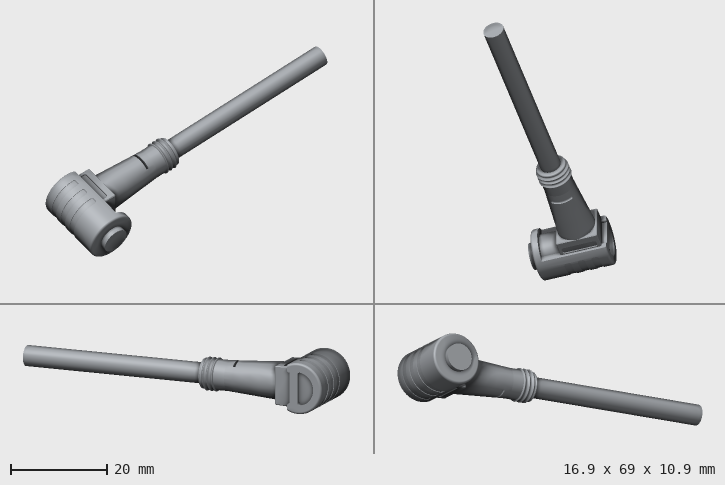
import cadquery as cq
import math

OVERALL_LENGTH = 68.95

BARREL_DIAMETER = 10.9
BARREL_BACK = -5.5
BARREL_FRONT = 10.15
BARREL_EDGE_RADIUS = 0.5
BARREL_FLAT_Y = 2.35
COLLAR_WIDTH = 1.6
NECK_DIAMETER = 8.3
NOSE_DIAMETER = 5.7
NOSE_LENGTH = 1.25

BLOCK_WIDTH = 8.95
BLOCK_END_Y = 5.5
BLOCK_END_HALF_HEIGHT = 4.15
BLOCK_FLAT_HALF_HEIGHT = 4.3
BLOCK_CHAMFER = 0.17

PANEL_LENGTH = 7.6
PANEL_Y_MIN = 2.55
PANEL_Y_MAX = 4.0
PANEL_CORNER_RADIUS = 0.5
PANEL_DEPTH = 0.2

NOTCH_HALF_HEIGHT = 3.3
NOTCH_FLOOR_Y = 1.8
NOTCH_CORNER_RADIUS = 0.4

D_RADIUS = 3.6
D_CORNER_RADIUS = 0.55

GRIP_WIDTH = 1.5
GRIP_PITCH = 2.95
GRIP_COUNT = 3
GRIP_MIDDLE_X = 0.52
GRIP_END_Y = 0.7
GRIP_CORNER_RADIUS = 0.5
GRIP_DEPTH = 0.15

CABLE_DIAMETER = 4.4
SLEEVE_DIAMETER = 6.5
CONE_BASE_DIAMETER = 8.2
CONE_TIP_Y = 17.6
SLEEVE_END_Y = 23.5
SLEEVE_TIP_ROUNDING = 0.35
RIB_DIAMETER = 7.1
RIB_WIDTH = 0.55
RIB_PITCH = 1.0
RIB_COUNT = 3
FIRST_RIB_Y = 20.35

SLOT_Y = 15.7
SLOT_WIDTH = 0.55
SLOT_LENGTH = 4.55
SLOT_FLOOR_Z = 0.35

barrel_radius = BARREL_DIAMETER / 2
sleeve_radius = SLEEVE_DIAMETER / 2
rib_radius = RIB_DIAMETER / 2
cable_end_y = OVERALL_LENGTH - barrel_radius
collar_back = BARREL_FRONT - COLLAR_WIDTH
block_back = -BLOCK_WIDTH / 2


def rod_along_x(diameter, x_start, x_end):
    """Round rod on the barrel axis."""
    return cq.Workplane("YZ", origin=(x_start, 0, 0)).circle(diameter / 2).extrude(x_end - x_start)


def box_between(low, high):
    """Box given by two opposite corners."""
    size = [b - a for a, b in zip(low, high)]
    return cq.Workplane("XY").box(*size, centered=False).translate(low)


def make_barrel():
    """Barrel with its full collar, the neck left bare by the flat, and the nose in front."""
    barrel = rod_along_x(BARREL_DIAMETER, BARREL_BACK, BARREL_FRONT).edges().fillet(BARREL_EDGE_RADIUS)
    flat_cut = box_between(
        (BARREL_BACK, BARREL_FLAT_Y, -barrel_radius),
        (collar_back, barrel_radius, barrel_radius),
    )
    neck = rod_along_x(NECK_DIAMETER, block_back + BLOCK_CHAMFER, collar_back)
    nose = rod_along_x(NOSE_DIAMETER, collar_back, BARREL_FRONT + NOSE_LENGTH)
    return barrel.cut(flat_cut).union(neck).union(nose)


def make_block():
    """Block that thickens toward the barrel, with all its edges bevelled."""
    slope = (BLOCK_FLAT_HALF_HEIGHT - BLOCK_END_HALF_HEIGHT) / (BLOCK_END_Y - BARREL_FLAT_Y)
    inner_half_height = BLOCK_END_HALF_HEIGHT + slope * BLOCK_END_Y
    side_outline = [
        (0, -inner_half_height),
        (BLOCK_END_Y, -BLOCK_END_HALF_HEIGHT),
        (BLOCK_END_Y, BLOCK_END_HALF_HEIGHT),
        (0, inner_half_height),
    ]
    return (
        cq.Workplane("YZ", origin=(block_back, 0, 0))
        .polyline(side_outline)
        .close()
        .extrude(BLOCK_WIDTH)
        .edges()
        .chamfer(BLOCK_CHAMFER)
    )


def make_panel_recess(side):
    """Oblong cutter for the top (side = 1) or bottom (side = -1) of the block."""
    floor_z = BLOCK_END_HALF_HEIGHT - PANEL_DEPTH
    panel_middle_y = (PANEL_Y_MIN + PANEL_Y_MAX) / 2
    return (
        cq.Workplane("XY", origin=(0, panel_middle_y, side * floor_z))
        .rect(PANEL_LENGTH, PANEL_Y_MAX - PANEL_Y_MIN)
        .extrude(side * (barrel_radius - floor_z))
        .edges("|Z")
        .fillet(PANEL_CORNER_RADIUS)
    )


def make_end_notch():
    """Cutter for the notch, flared by a rounded corner where it meets the barrel flat."""
    r = NOTCH_CORNER_RADIUS
    bend = r * (1 - math.sqrt(0.5))
    h = NOTCH_HALF_HEIGHT
    return (
        cq.Workplane("YZ", origin=(BARREL_BACK, 0, 0))
        .moveTo(NOTCH_FLOOR_Y, -h)
        .lineTo(BARREL_FLAT_Y - r, -h)
        .threePointArc((BARREL_FLAT_Y - bend, -h - bend), (BARREL_FLAT_Y, -h - r))
        .lineTo(BARREL_FLAT_Y, h + r)
        .threePointArc((BARREL_FLAT_Y - bend, h + bend), (BARREL_FLAT_Y - r, h))
        .lineTo(NOTCH_FLOOR_Y, h)
        .close()
        .extrude(block_back - BARREL_BACK)
    )


def make_d_recess():
    """Cutter for the D, a half disc on the -Y side of the barrel axis."""
    return (
        cq.Workplane("YZ", origin=(BARREL_BACK, 0, 0))
        .moveTo(0, D_RADIUS)
        .threePointArc((-D_RADIUS, 0), (0, -D_RADIUS))
        .close()
        .extrude(block_back - BARREL_BACK)
        .edges("|X")
        .fillet(D_CORNER_RADIUS)
    )


def make_grip_grooves():
    """Shallow grooves with rounded corners that wrap the -Y half of the barrel."""
    ring = rod_along_x(BARREL_DIAMETER + 2 * GRIP_DEPTH, BARREL_BACK, BARREL_FRONT)
    ring = ring.cut(rod_along_x(BARREL_DIAMETER - 2 * GRIP_DEPTH, BARREL_BACK, BARREL_FRONT))
    groove_length = GRIP_END_Y + BARREL_DIAMETER
    groove_middle_y = GRIP_END_Y - groove_length / 2
    grooves = cq.Workplane("XY")
    for index in range(GRIP_COUNT):
        x = GRIP_MIDDLE_X + (index - (GRIP_COUNT - 1) / 2) * GRIP_PITCH
        slot = (
            cq.Workplane("XY", origin=(x, groove_middle_y, 0))
            .rect(GRIP_WIDTH, groove_length)
            .extrude(BARREL_DIAMETER, both=True)
            .edges("|Z")
            .fillet(GRIP_CORNER_RADIUS)
        )
        grooves = grooves.add(ring.intersect(slot))
    return grooves.combine()


def make_strain_relief():
    """Tapered sleeve with wavy ribs near its tip, rooted in the block behind the recesses."""
    wave = []
    for index in range(RIB_COUNT):
        peak_y = FIRST_RIB_Y + index * RIB_PITCH
        wave.append((sleeve_radius, peak_y - RIB_WIDTH / 2))
        wave.append((rib_radius, peak_y))
        wave.append((sleeve_radius, peak_y + RIB_WIDTH / 2))
    tip_start_y = SLEEVE_END_Y - SLEEVE_TIP_ROUNDING
    tip_radius = sleeve_radius - SLEEVE_TIP_ROUNDING
    tip_bend = SLEEVE_TIP_ROUNDING * math.sqrt(0.5)
    wave.append((sleeve_radius, tip_start_y))
    return (
        cq.Workplane("XY")
        .moveTo(0, PANEL_Y_MAX)
        .lineTo(CONE_BASE_DIAMETER / 2, PANEL_Y_MAX)
        .lineTo(CONE_BASE_DIAMETER / 2, BLOCK_END_Y)
        .lineTo(sleeve_radius, CONE_TIP_Y)
        .lineTo(*wave[0])
        .spline(wave[1:], includeCurrent=True)
        .threePointArc((tip_radius + tip_bend, tip_start_y + tip_bend), (tip_radius, SLEEVE_END_Y))
        .lineTo(0, SLEEVE_END_Y)
        .close()
        .revolve(360, (0, 0, 0), (0, 1, 0))
    )


def make_cross_slot(side):
    """Cutter for the slot across the top (side = 1) or bottom (side = -1) of the sleeve."""
    return (
        cq.Workplane("XY", origin=(0, SLOT_Y, side * SLOT_FLOOR_Z))
        .rect(SLOT_LENGTH, SLOT_WIDTH)
        .extrude(side * CONE_BASE_DIAMETER)
    )


def make_cable():
    """Plain round cable from inside the block to its far end."""
    return (
        cq.Workplane("XZ", origin=(0, PANEL_Y_MAX, 0))
        .circle(CABLE_DIAMETER / 2)
        .extrude(PANEL_Y_MAX - cable_end_y)
    )


barrel = make_barrel().cut(make_end_notch()).cut(make_d_recess()).cut(make_grip_grooves())
block = make_block()
relief = make_strain_relief()
for side in (1, -1):
    block = block.cut(make_panel_recess(side))
    relief = relief.cut(make_cross_slot(side))
result = barrel.union(block).union(relief).union(make_cable())